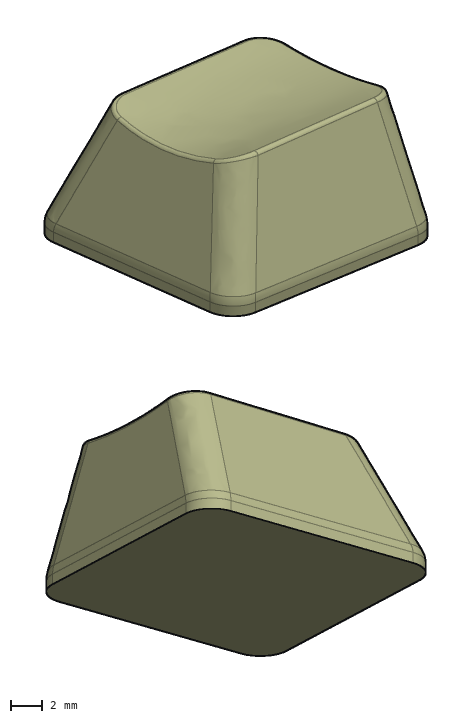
import cadquery as cq

base_size = 18.16
corner_radius = 2.02
blend_bottom = 0.73
blend_top = 1.3

wall_top = 9.99
top_half_width = 5.74
top_front_y = -5.55
top_back_y = 8.32
top_corner_radius = 1.96

dish_half_width = 7.26
dish_back_y = base_size / 2
dish_front_y = -base_size / 2
dish_back_centre_z = 8.83
dish_back_edge_z = 9.7
dish_front_centre_z = 7.99
dish_front_edge_z = 9.59
cutter_top = 14.53
rim_radius = 0.3


def rounded_rectangle(half_width, front_y, back_y, radius, z):
    """Closed horizontal outline with rounded corners, symmetric about X = 0."""
    centre_y = (front_y + back_y) / 2
    sharp = cq.Workplane("XY", origin=(0, centre_y, z)).rect(2 * half_width, back_y - front_y)
    outline = sharp.val()
    return outline.fillet2D(radius, outline.Vertices())


def wall_section(z):
    """Horizontal outline of the body at height z."""
    blend_middle = (blend_bottom + blend_top) / 2
    if z <= blend_bottom:
        rise = 0.0
    elif z < blend_top:
        rise = (z - blend_bottom) ** 2 / (2 * (blend_top - blend_bottom))
    else:
        rise = z - blend_middle
    share = rise / (wall_top - blend_middle)
    half_base = base_size / 2
    half_width = half_base + share * (top_half_width - half_base)
    front_y = -half_base + share * (top_front_y + half_base)
    back_y = half_base + share * (top_back_y - half_base)
    radius = corner_radius + share * (top_corner_radius - corner_radius)
    return rounded_rectangle(half_width, front_y, back_y, radius, z)


def make_body():
    """Vertical skirt, curved blend and sloping walls, stacked on each other."""
    bottom, blend_start, blend_middle, blend_end, top = [
        wall_section(z)
        for z in (0, blend_bottom, (blend_bottom + blend_top) / 2, blend_top, wall_top)
    ]
    skirt = cq.Solid.makeLoft([bottom, blend_start], True)
    blend = cq.Solid.makeLoft([blend_start, blend_middle, blend_end])
    walls = cq.Solid.makeLoft([blend_end, top], True)
    return cq.Workplane(skirt).union(cq.Workplane(blend)).union(cq.Workplane(walls))


def dish_section(y, centre_z, edge_z):
    """Cutting profile at one Y position, with the dish arc as its lower side."""
    return (
        cq.Workplane("XZ", origin=(0, y, 0))
        .moveTo(-dish_half_width, edge_z)
        .threePointArc((0, centre_z), (dish_half_width, edge_z))
        .lineTo(dish_half_width, cutter_top)
        .lineTo(-dish_half_width, cutter_top)
        .close()
        .val()
    )


def make_dish_cutter():
    back = dish_section(dish_back_y, dish_back_centre_z, dish_back_edge_z)
    front = dish_section(dish_front_y, dish_front_centre_z, dish_front_edge_z)
    return cq.Workplane(cq.Solid.makeLoft([back, front], True))


dished = make_body().cut(make_dish_cutter())
result = dished.faces(">Z").edges().fillet(rim_radius)